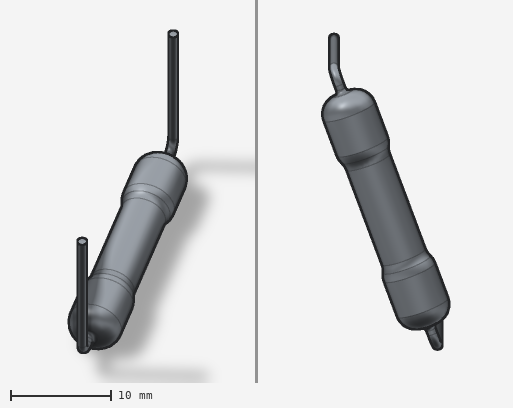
import cadquery as cq
import math

overall_length = 31.0
overall_height = 19.1
wire_diameter = 1.0
cap_diameter = 5.5
barrel_diameter = 4.68

wire_radius = wire_diameter / 2
cap_radius = cap_diameter / 2
barrel_radius = barrel_diameter / 2

barrel_half_length = 5.15
cap_inner_end = 6.82
dome_start = 10.63
dome_end = 12.55

flare_radius = 0.5
bend_radius = 1.5

lead_offset = overall_length / 2 - wire_radius
lead_top = overall_height - cap_radius
bend_start = lead_offset - bend_radius

diagonal = math.sqrt(0.5)


def make_barrel():
    """Make the narrow cylinder between the two end caps."""
    return (
        cq.Workplane("XZ", origin=(0, barrel_half_length, 0))
        .circle(barrel_radius)
        .extrude(2 * barrel_half_length)
    )


def make_cap():
    """Revolve the +Y cap with its barrel core: shoulder, cylinder, dome and flare to the wire."""
    flare_end = dome_end + flare_radius
    flare_base = wire_radius + flare_radius

    shoulder_middle = (
        (barrel_radius + cap_radius) / 2,
        (barrel_half_length + cap_inner_end) / 2,
    )
    flare_middle = (
        flare_base - flare_radius * diagonal,
        flare_end - flare_radius * diagonal,
    )
    profile = (
        cq.Workplane("XY")
        .lineTo(barrel_radius, 0)
        .lineTo(barrel_radius, barrel_half_length)
        .tangentArcPoint(shoulder_middle, relative=False)
        .tangentArcPoint((cap_radius, cap_inner_end), relative=False)
        .lineTo(cap_radius, dome_start)
        .tangentArcPoint((flare_base, dome_end), relative=False)
        .threePointArc(flare_middle, (wire_radius, flare_end))
        .lineTo(0, flare_end)
        .close()
    )
    return profile.revolve(360, (0, 0, 0), (0, 1, 0))


def make_lead():
    """Sweep the +Y lead out of the body, around its bend and up to its tip."""
    bend_middle = (
        bend_start + bend_radius * diagonal,
        bend_radius * (1 - diagonal),
    )
    path = (
        cq.Workplane("YZ")
        .moveTo(dome_end, 0)
        .lineTo(bend_start, 0)
        .threePointArc(bend_middle, (lead_offset, bend_radius))
        .lineTo(lead_offset, lead_top)
    )
    section = cq.Workplane("XZ", origin=(0, dome_end, 0)).circle(wire_radius)
    return section.sweep(path)


end_assembly = make_cap().union(make_lead())
result = make_barrel().union(end_assembly).union(end_assembly.mirror("XZ"))